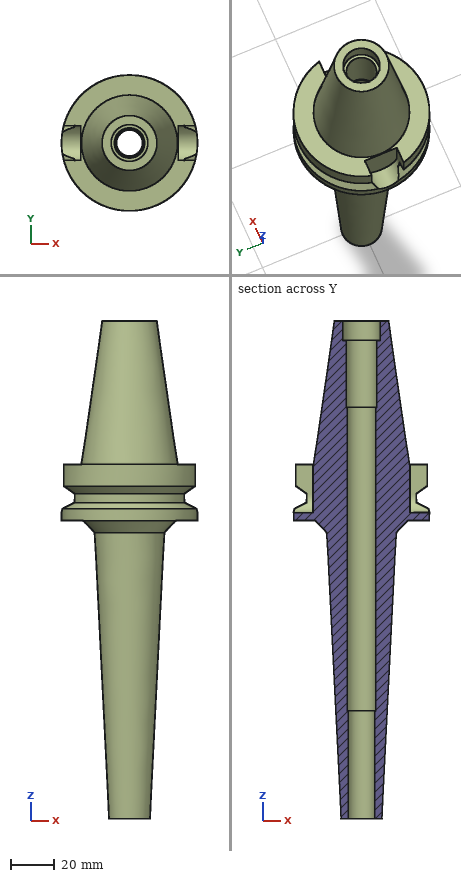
import cadquery as cq

taper_length = 65.4
taper_gauge_diameter = 44.45
taper_ratio = 7 / 24
gauge_length = 165.0

flange_diameter = 63.0
flange_top_drop = 1.0
groove_top_drop = 11.0
groove_floor_top_drop = 14.6
groove_floor_bottom_drop = 18.65
groove_bottom_drop = 21.5
flange_bottom_drop = 27.0
groove_floor_diameter = 53.2

neck_top_diameter = 43.0
neck_height = 5.5
shank_top_diameter = 32.5
shank_tip_diameter = 19.1

bore_entry_diameter = 17.0
bore_entry_depth = 9.0
bore_middle_diameter = 14.0
bore_middle_depth = 40.0
bore_neck_diameter = 13.0
tool_bore_diameter = 12.0
tool_bore_depth = 50.0

slot_width = 16.1
slot_floor_offset = 22.5
slot_end_drop = 23.2

gauge_z = gauge_length
top_z = gauge_z + taper_length
flange_radius = flange_diameter / 2


def revolve_profile(points):
    """Turn a closed (radius, height) outline about the Z axis."""
    axis_start = (0, 0)
    axis_end = (0, 1)
    return cq.Workplane("YZ").polyline(points).close().revolve(360, axis_start, axis_end)


def make_body():
    """Revolve the outer profile: taper, grooved flange, neck and shank."""
    gauge_radius = taper_gauge_diameter / 2
    top_radius = (taper_gauge_diameter - taper_ratio * taper_length) / 2
    groove_radius = groove_floor_diameter / 2
    flange_bottom_z = gauge_z - flange_bottom_drop
    profile = [
        (0, 0),
        (shank_tip_diameter / 2, 0),
        (shank_top_diameter / 2, flange_bottom_z - neck_height),
        (neck_top_diameter / 2, flange_bottom_z),
        (flange_radius, flange_bottom_z),
        (flange_radius, gauge_z - groove_bottom_drop),
        (groove_radius, gauge_z - groove_floor_bottom_drop),
        (groove_radius, gauge_z - groove_floor_top_drop),
        (flange_radius, gauge_z - groove_top_drop),
        (flange_radius, gauge_z - flange_top_drop),
        (gauge_radius, gauge_z - flange_top_drop),
        (gauge_radius, gauge_z),
        (top_radius, top_z),
        (0, top_z),
    ]
    return revolve_profile(profile)


def make_bore():
    """Through bore for the tool, widening in steps toward the taper end."""
    tool_radius = tool_bore_diameter / 2
    neck_radius = bore_neck_diameter / 2
    middle_radius = bore_middle_diameter / 2
    entry_radius = bore_entry_diameter / 2
    profile = [
        (0, 0),
        (tool_radius, 0),
        (tool_radius, tool_bore_depth),
        (neck_radius, tool_bore_depth),
        (neck_radius, top_z - bore_middle_depth),
        (middle_radius, top_z - bore_middle_depth),
        (middle_radius, top_z - bore_entry_depth),
        (entry_radius, top_z - bore_entry_depth),
        (entry_radius, top_z),
        (0, top_z),
    ]
    return revolve_profile(profile)


def make_drive_slot(side):
    """Flat-floored slot with a round lower end; side is -1 for -X and +1 for +X."""
    slot_radius = slot_width / 2
    arc_center_z = gauge_z - slot_end_drop + slot_radius
    slot_outline = (
        cq.Workplane("YZ", origin=(side * slot_floor_offset, 0, 0))
        .moveTo(-slot_radius, gauge_z)
        .lineTo(-slot_radius, arc_center_z)
        .threePointArc((0, gauge_z - slot_end_drop), (slot_radius, arc_center_z))
        .lineTo(slot_radius, gauge_z)
        .close()
    )
    return slot_outline.extrude(side * (flange_radius - slot_floor_offset))


result = make_body().cut(make_bore())
for side in (-1, 1):
    result = result.cut(make_drive_slot(side))